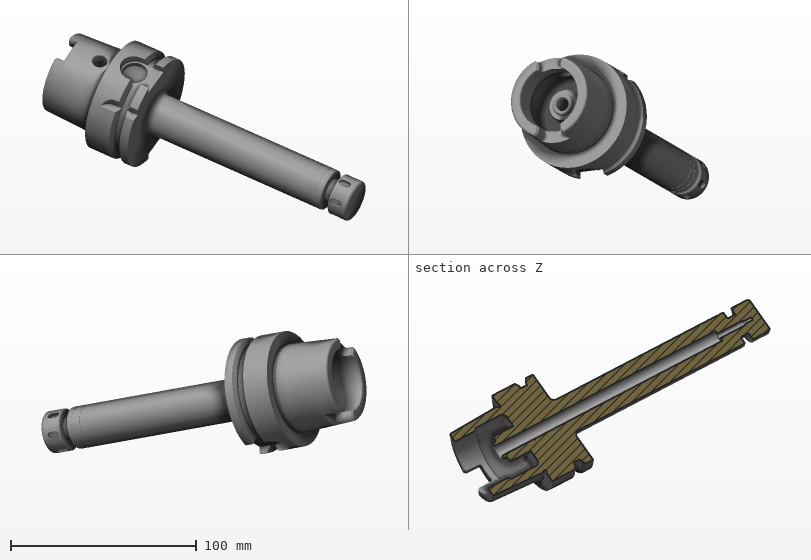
import cadquery as cq
import math


SHANK_LENGTH = 32.0
TAPER_GAUGE_X = -6.3
TAPER_GAUGE_RADIUS = 24.0
TAPER_SLOPE = 0.05
SHANK_END_ROUND = 1.3
TAPER_END_X = -2.0
NECK_START_X = -1.1
NECK_START_RADIUS = 23.9
NECK_RADIUS = 23.5
FACE_RELIEF_RADIUS = 25.4
FACE_RELIEF_DEPTH = 0.6
FACE_RELIEF_CHAMFER = 0.4

BORE_RADIUS = 17.0
BORE_MOUTH_CHAMFER = 0.4
CLAMP_SHOULDER_X = -19.0
CHAMBER_RADIUS = 18.5
CLAMP_SHOULDER_ANGLE = 60.0
CHAMBER_FLOOR_X = 0.0
CHAMBER_FLOOR_FILLET = 2.8

SLOT_WIDTH = 12.54
TOP_SLOT_DEPTH = 5.8
BOTTOM_SLOT_DEPTH = 9.9
SLOT_FLOOR_FILLET = 1.6
SLOT_FLARE_RADIUS = 4.0
SLOT_FLARE_START_Z = 17.7
SLOT_EDGE_CHAMFER = 1.1
SLOT_EDGE_ANGLE = 45.0

ACCESS_HOLE_X = -8.7
ACCESS_HOLE_DIAMETER = 8.0
ACCESS_SINK_START_Z = 23.1
ACCESS_SINK_DEPTH = 1.5

FLANGE_RADIUS = 31.5
FLANGE_WIDTH = 26.0
GROOVE_CENTER_X = 17.95
GROOVE_FLOOR_RADIUS = 27.5
GROOVE_WALL_RADIUS = 28.9
GROOVE_WALL_WIDTH = 3.8
GROOVE_FLANK_ANGLE = 30.0

KEYWAY_WIDTH = 16.0
KEYWAY_CENTER_X = 12.8
KEYWAY_FLOOR_Z = 26.5
CHIP_POCKET_DIAMETER = 14.0
CHIP_POCKET_FLOOR_Z = 24.0
NOTCH_OFFSET = 20.0
NOTCH_CENTER_X = 12.5
NOTCH_CORNER_RADIUS = 8.0

LOCKNUT_RADIUS = 9.2
LOCKNUT_FRONT_X = -13.0
LOCKNUT_CONE_DEPTH = 1.0
LOCKNUT_CONE_LENGTH = 2.0
TUBE_RADIUS = 6.0
TUBE_FRONT_X = -15.0
TUBE_CHAMFER = 1.0
TUBE_MOUTH_DIAMETER = 8.5

CHANNEL_DIAMETER = 7.0
CHANNEL_END_X = 124.0
COLLET_BORE_DIAMETER = 3.0
COLLET_BORE_END_X = 140.0
TIP_BORE_DIAMETER = 1.7
TIP_BORE_END_X = 145.0

SHAFT_RADIUS = 11.5
SHAFT_ROOT_FILLET = 3.0
SHAFT_END_X = 133.9
SHAFT_END_BEVEL_LENGTH = 1.3
SHAFT_END_BEVEL_DEPTH = 0.2
RING_GROOVE_STARTS = (124.9, 129.9)
RING_GROOVE_WIDTH = 1.1
RING_GROOVE_DEPTH = 0.15

COLLET_NECK_RADIUS = 7.0
COLLET_NECK_FILLET = 0.7
NUT_START_X = 138.6
NUT_RADIUS = 11.5
NUT_END_X = 150.0
NUT_BACK_CHAMFER = 0.5
NUT_NOSE_ROUND = 1.5
NUT_SLOT_COUNT = 6
NUT_SLOT_WIDTH = 4.0
NUT_SLOT_START_X = 139.5
NUT_SLOT_END_X = 146.4
NUT_SLOT_DEPTH = 2.0


def taper_radius(x):
    """Outer radius of the shank taper at the given X."""
    return TAPER_GAUGE_RADIUS + TAPER_SLOPE * (x - TAPER_GAUGE_X)


def revolve_about_x(profile):
    """Turn a closed XY profile (X along the axis, Y radius) around the X axis."""
    return profile.close().revolve(360, (0, 0, 0), (1, 0, 0))


def cylinder(radius, start_x, end_x):
    """Cylinder on the X axis."""
    return cq.Workplane("YZ", origin=(start_x, 0, 0)).circle(radius).extrude(end_x - start_x)


def make_shank():
    """Solid taper with its rounded end and the relief in front of the flange."""
    taper = revolve_about_x(
        cq.Workplane("XY")
        .moveTo(-SHANK_LENGTH, 0)
        .lineTo(-SHANK_LENGTH, taper_radius(-SHANK_LENGTH))
        .lineTo(TAPER_END_X, taper_radius(TAPER_END_X))
        .lineTo(NECK_START_X, NECK_START_RADIUS)
        .lineTo(NECK_START_X + NECK_START_RADIUS - NECK_RADIUS, NECK_RADIUS)
        .lineTo(FACE_RELIEF_DEPTH, NECK_RADIUS)
        .lineTo(FACE_RELIEF_DEPTH, 0)
    )
    return taper.faces("<X").edges().fillet(SHANK_END_ROUND)


def make_flange():
    """Flange disc with the V-shaped gripper groove and the relief in its contact face."""
    flank_length = (FLANGE_RADIUS - GROOVE_WALL_RADIUS) * math.tan(math.radians(GROOVE_FLANK_ANGLE))
    wall_start = GROOVE_CENTER_X - GROOVE_WALL_WIDTH / 2
    wall_end = GROOVE_CENTER_X + GROOVE_WALL_WIDTH / 2
    return revolve_about_x(
        cq.Workplane("XY")
        .moveTo(FACE_RELIEF_DEPTH, 0)
        .lineTo(FACE_RELIEF_DEPTH, FACE_RELIEF_RADIUS - FACE_RELIEF_CHAMFER)
        .lineTo(FACE_RELIEF_DEPTH - FACE_RELIEF_CHAMFER, FACE_RELIEF_RADIUS - FACE_RELIEF_CHAMFER)
        .lineTo(0, FACE_RELIEF_RADIUS)
        .lineTo(0, FLANGE_RADIUS)
        .lineTo(wall_start - flank_length, FLANGE_RADIUS)
        .lineTo(wall_start, GROOVE_WALL_RADIUS)
        .lineTo(wall_start, GROOVE_FLOOR_RADIUS)
        .lineTo(wall_end, GROOVE_FLOOR_RADIUS)
        .lineTo(wall_end, GROOVE_WALL_RADIUS)
        .lineTo(wall_end + flank_length, FLANGE_RADIUS)
        .lineTo(FLANGE_WIDTH, FLANGE_RADIUS)
        .lineTo(FLANGE_WIDTH, 0)
    )


def make_shaft():
    """Shaft with its filleted root, ring grooves, bevelled end and the collet neck."""
    root_radius = SHAFT_RADIUS + SHAFT_ROOT_FILLET
    root_end = FLANGE_WIDTH + SHAFT_ROOT_FILLET
    neck_root_radius = COLLET_NECK_RADIUS + COLLET_NECK_FILLET
    neck_start = SHAFT_END_X + COLLET_NECK_FILLET
    shaft = revolve_about_x(
        cq.Workplane("XY")
        .moveTo(FLANGE_WIDTH, 0)
        .lineTo(FLANGE_WIDTH, root_radius)
        .radiusArc((root_end, SHAFT_RADIUS), -SHAFT_ROOT_FILLET)
        .lineTo(SHAFT_END_X - SHAFT_END_BEVEL_LENGTH, SHAFT_RADIUS)
        .lineTo(SHAFT_END_X, SHAFT_RADIUS - SHAFT_END_BEVEL_DEPTH)
        .lineTo(SHAFT_END_X, neck_root_radius)
        .radiusArc((neck_start, COLLET_NECK_RADIUS), -COLLET_NECK_FILLET)
        .lineTo(NUT_START_X, COLLET_NECK_RADIUS)
        .lineTo(NUT_START_X, 0)
    )
    for start_x in RING_GROOVE_STARTS:
        end_x = start_x + RING_GROOVE_WIDTH
        ring = cylinder(SHAFT_RADIUS, start_x, end_x).cut(
            cylinder(SHAFT_RADIUS - RING_GROOVE_DEPTH, start_x, end_x)
        )
        shaft = shaft.cut(ring)
    return shaft


def make_nut():
    """Collet nut with round-ended wrench slots spaced evenly around it."""
    nut = cylinder(NUT_RADIUS, NUT_START_X, NUT_END_X)
    nut = nut.faces("<X").edges().chamfer(NUT_BACK_CHAMFER)
    nut = nut.faces(">X").edges().fillet(NUT_NOSE_ROUND)
    slot = (
        cq.Workplane("XY", origin=((NUT_SLOT_START_X + NUT_SLOT_END_X) / 2, 0, NUT_RADIUS - NUT_SLOT_DEPTH))
        .slot2D(NUT_SLOT_END_X - NUT_SLOT_START_X, NUT_SLOT_WIDTH)
        .extrude(2 * NUT_SLOT_DEPTH)
    )
    for index in range(NUT_SLOT_COUNT):
        nut = nut.cut(slot.rotate((0, 0, 0), (1, 0, 0), index * 360 / NUT_SLOT_COUNT))
    return nut


def clamping_bore():
    """Entry bore, 60 degree clamping shoulder and wider chamber with a rounded floor."""
    shoulder_length = (CHAMBER_RADIUS - BORE_RADIUS) / math.tan(math.radians(CLAMP_SHOULDER_ANGLE))
    return revolve_about_x(
        cq.Workplane("XY")
        .moveTo(-SHANK_LENGTH, 0)
        .lineTo(-SHANK_LENGTH, BORE_RADIUS + BORE_MOUTH_CHAMFER)
        .lineTo(-SHANK_LENGTH + BORE_MOUTH_CHAMFER, BORE_RADIUS)
        .lineTo(CLAMP_SHOULDER_X, BORE_RADIUS)
        .lineTo(CLAMP_SHOULDER_X + shoulder_length, CHAMBER_RADIUS)
        .lineTo(CHAMBER_FLOOR_X - CHAMBER_FLOOR_FILLET, CHAMBER_RADIUS)
        .radiusArc((CHAMBER_FLOOR_X, CHAMBER_RADIUS - CHAMBER_FLOOR_FILLET), CHAMBER_FLOOR_FILLET)
        .lineTo(CHAMBER_FLOOR_X, 0)
    )


def drive_slot(depth):
    """Cutter for the +Z drive slot; its walls flare outward near the taper surface."""
    half_width = SLOT_WIDTH / 2
    flare_half_width = half_width + SLOT_FLARE_RADIUS
    flare_end_z = SLOT_FLARE_START_Z + SLOT_FLARE_RADIUS
    outer_z = taper_radius(0) + SLOT_FLARE_RADIUS
    cutter = (
        cq.Workplane("YZ", origin=(-SHANK_LENGTH, 0, 0))
        .moveTo(-half_width, 0)
        .lineTo(half_width, 0)
        .lineTo(half_width, SLOT_FLARE_START_Z)
        .radiusArc((flare_half_width, flare_end_z), SLOT_FLARE_RADIUS)
        .lineTo(flare_half_width, outer_z)
        .lineTo(-flare_half_width, outer_z)
        .lineTo(-flare_half_width, flare_end_z)
        .radiusArc((-half_width, SLOT_FLARE_START_Z), SLOT_FLARE_RADIUS)
        .close()
        .extrude(depth)
    )
    mouth = (
        cutter.faces("<X").wires().toPending()
        .workplane(invert=True)
        .offset2D(SLOT_EDGE_CHAMFER, "intersection")
        .extrude(SLOT_EDGE_CHAMFER, taper=SLOT_EDGE_ANGLE, combine=False)
    )
    cutter = cutter.faces(">X").edges("not(#Z)").fillet(SLOT_FLOOR_FILLET)
    return cutter.union(mouth)


def keyway():
    """Cutter for the +Z flange keyway: round at its inner end, open at the shaft side."""
    height = FLANGE_RADIUS - KEYWAY_FLOOR_Z
    floor = cq.Workplane("XY", origin=(KEYWAY_CENTER_X, 0, KEYWAY_FLOOR_Z))
    length = FLANGE_WIDTH - KEYWAY_CENTER_X
    round_end = floor.circle(KEYWAY_WIDTH / 2).extrude(height)
    channel = floor.center(length / 2, 0).rect(length, KEYWAY_WIDTH).extrude(height)
    return round_end.union(channel)


def chip_pocket():
    """Round pocket sunk into the floor of the +Z keyway."""
    return (
        cq.Workplane("XY", origin=(KEYWAY_CENTER_X, 0, CHIP_POCKET_FLOOR_Z))
        .circle(CHIP_POCKET_DIAMETER / 2)
        .extrude(FLANGE_RADIUS - CHIP_POCKET_FLOOR_Z)
    )


def index_notch():
    """Cutter for the square-cornered notch on the -Y, +Z side of the flange."""
    start_x = NOTCH_CENTER_X - NOTCH_CORNER_RADIUS
    size = FLANGE_RADIUS - NOTCH_OFFSET
    block = cq.Workplane("XY", origin=(0, 0, NOTCH_OFFSET)).moveTo(FLANGE_WIDTH, -NOTCH_OFFSET)
    block = block.lineTo(NOTCH_CENTER_X, -NOTCH_OFFSET)
    block = block.radiusArc((start_x, -NOTCH_OFFSET - NOTCH_CORNER_RADIUS), -NOTCH_CORNER_RADIUS)
    block = block.lineTo(start_x, -FLANGE_RADIUS).lineTo(FLANGE_WIDTH, -FLANGE_RADIUS)
    return block.close().extrude(size)


def access_hole():
    """Radial hole through the +Z wall of the taper with a 45 degree countersink."""
    radius = ACCESS_HOLE_DIAMETER / 2
    bottom_z = BORE_RADIUS / 2
    sink_end_z = ACCESS_SINK_START_Z + ACCESS_SINK_DEPTH
    return (
        cq.Workplane("XZ")
        .moveTo(0, bottom_z)
        .lineTo(radius, bottom_z)
        .lineTo(radius, ACCESS_SINK_START_Z)
        .lineTo(radius + ACCESS_SINK_DEPTH, sink_end_z)
        .lineTo(0, sink_end_z)
        .close()
        .revolve(360, (0, 0, 0), (0, 1, 0))
        .translate((ACCESS_HOLE_X, 0, 0))
    )


def make_coolant_tube():
    """Lock nut on the chamber floor with the coolant tube standing proud of it."""
    locknut = revolve_about_x(
        cq.Workplane("XY")
        .moveTo(LOCKNUT_FRONT_X, 0)
        .lineTo(LOCKNUT_FRONT_X, LOCKNUT_RADIUS - LOCKNUT_CONE_DEPTH)
        .lineTo(LOCKNUT_FRONT_X + LOCKNUT_CONE_LENGTH, LOCKNUT_RADIUS)
        .lineTo(FACE_RELIEF_DEPTH, LOCKNUT_RADIUS)
        .lineTo(FACE_RELIEF_DEPTH, 0)
    )
    tube = cylinder(TUBE_RADIUS, TUBE_FRONT_X, FACE_RELIEF_DEPTH)
    tube = tube.faces("<X").edges().chamfer(TUBE_CHAMFER)
    return locknut.union(tube)


def coolant_channel():
    """Blind stepped channel along the axis, countersunk at the tube mouth."""
    mouth_radius = TUBE_MOUTH_DIAMETER / 2
    channel_radius = CHANNEL_DIAMETER / 2
    collet_radius = COLLET_BORE_DIAMETER / 2
    tip_radius = TIP_BORE_DIAMETER / 2
    return revolve_about_x(
        cq.Workplane("XY")
        .moveTo(TUBE_FRONT_X, 0)
        .lineTo(TUBE_FRONT_X, mouth_radius)
        .lineTo(TUBE_FRONT_X + mouth_radius - channel_radius, channel_radius)
        .lineTo(CHANNEL_END_X, channel_radius)
        .lineTo(CHANNEL_END_X, collet_radius)
        .lineTo(COLLET_BORE_END_X, collet_radius)
        .lineTo(COLLET_BORE_END_X, tip_radius)
        .lineTo(TIP_BORE_END_X, tip_radius)
        .lineTo(TIP_BORE_END_X, 0)
    )


def opposite(cutter):
    """The same cutter turned to the -Z side."""
    return cutter.rotate((0, 0, 0), (1, 0, 0), 180)


body = make_shank().union(make_flange()).union(make_shaft()).union(make_nut())
body = body.cut(clamping_bore())
body = body.cut(drive_slot(TOP_SLOT_DEPTH))
body = body.cut(opposite(drive_slot(BOTTOM_SLOT_DEPTH)))
body = body.cut(access_hole())
body = body.cut(keyway()).cut(opposite(keyway()))
body = body.cut(chip_pocket())
body = body.cut(index_notch())
body = body.union(make_coolant_tube())
result = body.cut(coolant_channel())